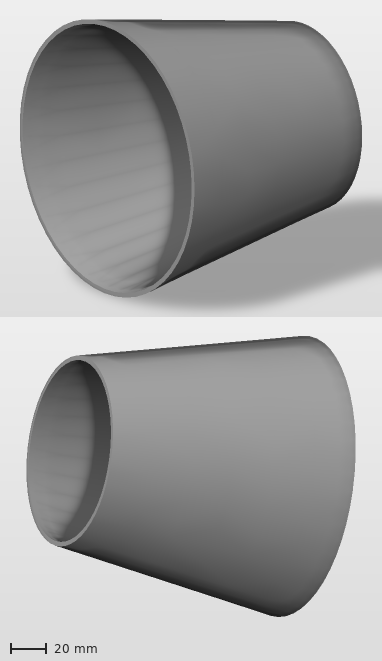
import cadquery as cq

LARGE_DIAMETER = 159.0
SMALL_DIAMETER = 108.0
WALL = 2.6
LENGTH = 140.0


def make_reducer():
    """Revolve the sloping wall section about the Y axis."""
    large_radius = LARGE_DIAMETER / 2
    small_radius = SMALL_DIAMETER / 2
    wall_section = [
        (large_radius - WALL, 0),
        (large_radius, 0),
        (small_radius, LENGTH),
        (small_radius - WALL, LENGTH),
    ]
    return (
        cq.Workplane("XY")
        .polyline(wall_section)
        .close()
        .revolve(360, (0, 0, 0), (0, 1, 0))
    )


result = make_reducer()